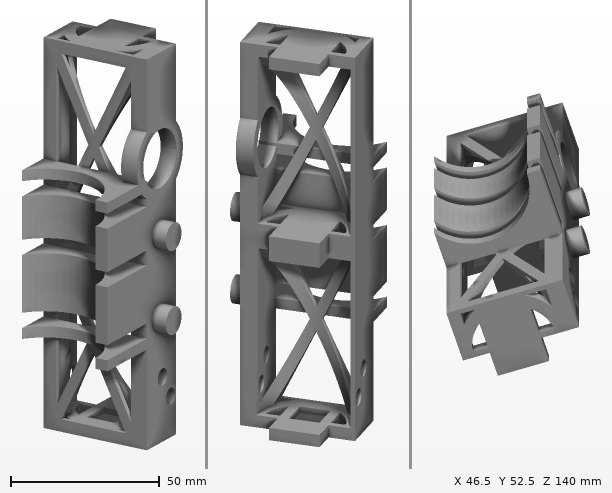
import cadquery as cq
import math


box_width = 41.0
box_depth = 18.5
box_height = 140.0
plate = 4.5
middle_z = box_height / 2

cavity_left = 4.3
right_wall = 6.3
cavity_right = box_width - right_wall
front_wall = 1.7
back_wall = 2.2

tube_x = 18.5
tube_inner_radius = 14.5
tube_outer_radius = 18.9
bore_radius = 16.8
bore_wall_top = 9.5

window_left = 5.0
window_right = cavity_right
strut_width = 3.8

tab_width = 18.0
tab_length = 9.0

pocket_width = 10.9
pocket_front = 6.6
pocket_depth = 2.2

arm_reach = 25.0
cradle_radius = 20.0
cradle_x = 16.4
arm_gap = 5.5
thin_arm = 3.9
lower_arm = 20.7
upper_arm = 15.5
arms_bottom = 36.1

ring_outer_diameter = 29.1
ring_hole_diameter = 21.0
ring_y = 8.3
ring_z = 101.9

pin_diameter = 10.0
pin_length = 5.5
pin_y = 8.3
pin_heights = (45.0, 75.0)

cross_hole_diameter = 6.0
cross_holes = ((10.0, 23.2), (15.0, 14.7))


def block(x0, x1, y0, y1, z0, z1):
    """Axis-aligned block between two opposite corners."""
    return cq.Workplane("XY").box(x1 - x0, y1 - y0, z1 - z0, centered=False).translate((x0, y0, z0))


def x_cylinder(diameter, x0, x1, y, z):
    """Cylinder along X from x0 to x1."""
    return cq.Workplane("YZ", origin=(x0, y, z)).circle(diameter / 2).extrude(x1 - x0)


def make_hollow_box():
    """Box with a full-height cavity that leaves the half tube standing."""
    tube = (
        cq.Workplane("XY", origin=(tube_x, box_depth, 0))
        .circle(tube_outer_radius)
        .circle(tube_inner_radius)
        .extrude(box_height)
    )
    cavity = block(cavity_left, cavity_right, front_wall, box_depth - back_wall, 0, box_height)
    return block(0, box_width, 0, box_depth, 0, box_height).cut(cavity.cut(tube))


def add_tabs(body):
    """Tabs that also close the middle of the cavity at each plate."""
    levels = (
        (0, plate),
        (middle_z - plate, middle_z + plate),
        (box_height - plate, box_height),
    )
    for bottom, top in levels:
        tab = block(
            tube_x - tab_width / 2, tube_x + tab_width / 2,
            front_wall, box_depth + tab_length,
            bottom, top,
        )
        body = body.union(tab)
    return body


def make_struts(bottom, top):
    """Two struts crossing from corner to corner of a window, running through the whole depth."""
    width = window_right - window_left
    height = top - bottom
    centre = ((window_left + window_right) / 2, box_depth / 2, (bottom + top) / 2)
    strut_length = 2 * math.hypot(width, height)
    strut_angle = math.degrees(math.atan2(height, width))
    strut = cq.Workplane("XY").box(strut_length, box_depth, strut_width)
    rising = strut.rotate((0, 0, 0), (0, 1, 0), -strut_angle)
    falling = strut.rotate((0, 0, 0), (0, 1, 0), strut_angle)
    return rising.union(falling).translate(centre)


def cut_windows(body):
    """Braced windows through the front wall and half tube; the back stays open behind them."""
    levels = ((plate, middle_z - plate), (middle_z + plate, box_height - plate))
    for bottom, top in levels:
        front = block(window_left, window_right, 0, front_wall, bottom, top)
        inside = block(cavity_left, cavity_right, front_wall, box_depth, bottom, top)
        back = block(cavity_left, cavity_right, box_depth - back_wall, box_depth, bottom, top)
        wall = block(cavity_right, box_width, 0, box_depth, max(bottom, bore_wall_top), top)
        bore = cq.Workplane("XY", origin=(tube_x, box_depth, bottom)).circle(bore_radius).extrude(top - bottom)
        body = body.cut(front.union(inside).cut(make_struts(bottom, top))).cut(back).cut(bore.cut(wall))
    return body


def cut_pocket(body):
    """Square pocket sunk into the top of the bottom plate."""
    pocket = block(
        tube_x - pocket_width / 2, tube_x + pocket_width / 2,
        pocket_front, pocket_front + pocket_width,
        plate - pocket_depth, plate,
    )
    return body.cut(pocket)


def add_eye_ring(body):
    """Ring on the right wall, with its hole through the wall."""
    ring = x_cylinder(ring_outer_diameter, cavity_right, box_width, ring_y, ring_z)
    hole = x_cylinder(ring_hole_diameter, cavity_right, box_width, ring_y, ring_z)
    return body.union(ring).cut(hole)


def add_arms(body):
    """Four arms with equal gaps, hollowed by one round cradle."""
    cradle = cq.Workplane("XY", origin=(cradle_x, -arm_reach, 0)).circle(cradle_radius).extrude(box_height)
    bottom = arms_bottom
    for thickness in (thin_arm, lower_arm, upper_arm, thin_arm):
        arm = block(0, box_width, -arm_reach, 0, bottom, bottom + thickness)
        body = body.union(arm.cut(cradle))
        bottom += thickness + arm_gap
    return body


def add_pins(body):
    """Round pins standing out of the right wall."""
    for z in pin_heights:
        body = body.union(x_cylinder(pin_diameter, box_width, box_width + pin_length, pin_y, z))
    return body


def cut_cross_holes(body):
    """Small holes through the full width."""
    for y, z in cross_holes:
        body = body.cut(x_cylinder(cross_hole_diameter, 0, box_width, y, z))
    return body


body = add_tabs(make_hollow_box())
body = cut_windows(body)
body = cut_pocket(body)
body = add_eye_ring(body)
body = add_arms(body)
body = add_pins(body)
result = cut_cross_holes(body)